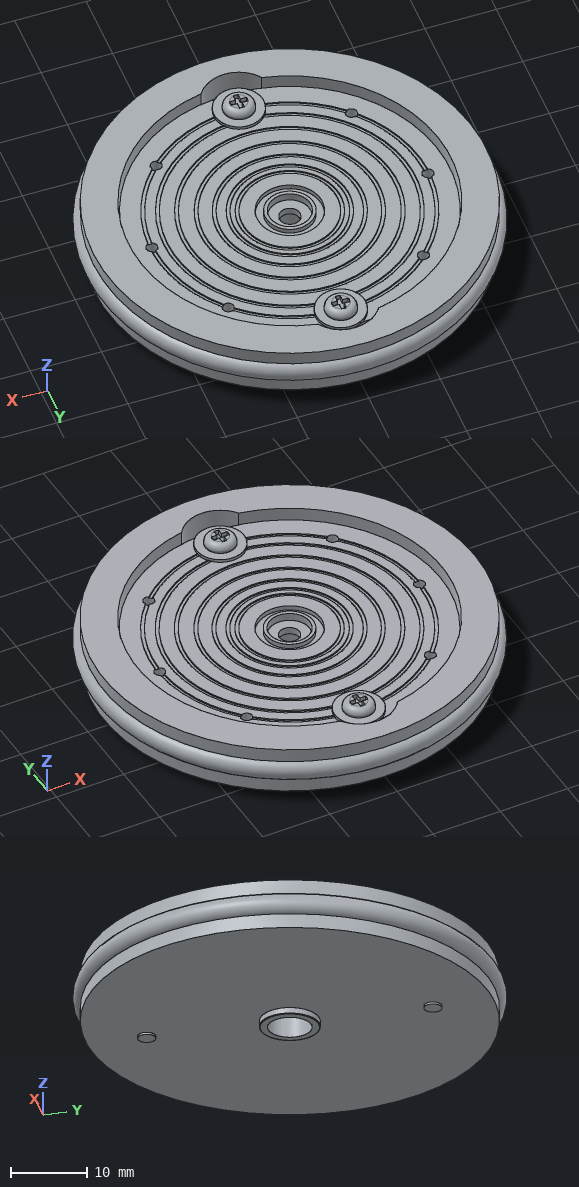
import cadquery as cq
import math

HOUSING_DIAMETER = 55.0
HOUSING_HEIGHT = 7.0
FLOOR_THICKNESS = 3.0
RECESS_DIAMETER = 45.1
SCREW_CLEARANCE_DIAMETER = 10.2
BOSS_DIAMETER = 8.0
BOSS_HEIGHT = 0.9
BOSS_CHAMFER = 0.1
BOSS_BORE_DIAMETER = 5.85

CORD_DIAMETER = 3.0
CORD_PROTRUSION = 1.0
CORD_Z = HOUSING_HEIGHT / 2

DISC_DIAMETER = 44.7
DISC_RECESS = 1.8
DISC_TOP = HOUSING_HEIGHT - DISC_RECESS
DISC_THICKNESS = DISC_TOP - FLOOR_THICKNESS
GROOVE_INNER_DIAMETERS = (13.35, 15.7, 19.35, 24.1, 29.25, 34.25, 38.1)
GROOVE_WIDTH = 0.5
GROOVE_DEPTH = 0.2

BOLT_CIRCLE_DIAMETER = 38.6
BOLT_POSITIONS = 8
SCREW_ANGLES = (90, 270)
SMALL_HOLE_DIAMETER = 1.56

RIM_OUTER_DIAMETER = 6.9
RIM_INNER_DIAMETER = 5.9
MOAT_DIAMETER = 9.1
MOAT_DEPTH = 0.7
POCKET_DEPTH = 1.15
CENTRE_HOLE_DIAMETER = 2.9

SHANK_DIAMETER = 2.4
SHANK_PROTRUSION = 0.3
WASHER_DIAMETER = 7.0
WASHER_THICKNESS = 0.45
HEAD_DIAMETER = 4.4
HEAD_HEIGHT = 1.2
HEAD_FILLET = 1.0
CROSS_SPAN = 2.4
CROSS_ARM_WIDTH = 0.66
CROSS_CORE_WIDTH = 0.95
CROSS_DEPTH = 0.7


def cylinder(diameter, bottom, height):
    """Upright cylinder on the Z axis."""
    return cq.Workplane("XY").workplane(offset=bottom).circle(diameter / 2).extrude(height)


def tube(outer_diameter, inner_diameter, bottom, height):
    """Upright tube on the Z axis."""
    section = cq.Workplane("XY").workplane(offset=bottom)
    return section.circle(outer_diameter / 2).circle(inner_diameter / 2).extrude(height)


def bolt_point(angle):
    """Point on the bolt circle at an angle in degrees."""
    radius = BOLT_CIRCLE_DIAMETER / 2
    return (radius * math.cos(math.radians(angle)), radius * math.sin(math.radians(angle)))


screw_points = [bolt_point(angle) for angle in SCREW_ANGLES]
all_angles = [position * 360 / BOLT_POSITIONS for position in range(BOLT_POSITIONS)]
small_hole_points = [bolt_point(angle) for angle in all_angles if angle not in SCREW_ANGLES]

cord_circle_diameter = HOUSING_DIAMETER + 2 * CORD_PROTRUSION - CORD_DIAMETER


def make_housing():
    """Cup with screw clearances in its wall, a bored boss below and a groove for the sealing ring."""
    recess_depth = HOUSING_HEIGHT - FLOOR_THICKNESS
    boss = cylinder(BOSS_DIAMETER, -BOSS_HEIGHT, BOSS_HEIGHT).faces("<Z").chamfer(BOSS_CHAMFER)
    housing = cylinder(HOUSING_DIAMETER, 0, HOUSING_HEIGHT).union(boss)
    housing = housing.cut(cylinder(RECESS_DIAMETER, FLOOR_THICKNESS, recess_depth))
    housing = housing.cut(cylinder(BOSS_BORE_DIAMETER, -BOSS_HEIGHT, BOSS_HEIGHT + FLOOR_THICKNESS))
    for x, y in screw_points:
        clearance = cylinder(SCREW_CLEARANCE_DIAMETER, FLOOR_THICKNESS, recess_depth)
        screw_hole = cylinder(SHANK_DIAMETER, 0, FLOOR_THICKNESS)
        housing = housing.cut(clearance.union(screw_hole).translate((x, y, 0)))
    groove_floor_diameter = cord_circle_diameter - CORD_DIAMETER
    groove_bottom = CORD_Z - CORD_DIAMETER / 2
    return housing.cut(tube(HOUSING_DIAMETER, groove_floor_diameter, groove_bottom, CORD_DIAMETER))


def make_sealing_ring():
    """Torus of round cord."""
    return cq.Workplane(cq.Solid.makeTorus(
        cord_circle_diameter / 2, CORD_DIAMETER / 2, cq.Vector(0, 0, CORD_Z)))


def make_disc():
    """Disc with concentric grooves, a stepped centre and holes on the bolt circle."""
    disc = cylinder(DISC_DIAMETER, FLOOR_THICKNESS, DISC_THICKNESS)

    for inner_diameter in GROOVE_INNER_DIAMETERS:
        outer_diameter = inner_diameter + 2 * GROOVE_WIDTH
        disc = disc.cut(tube(outer_diameter, inner_diameter, DISC_TOP - GROOVE_DEPTH, GROOVE_DEPTH))

    disc = disc.cut(tube(MOAT_DIAMETER, RIM_OUTER_DIAMETER, DISC_TOP - MOAT_DEPTH, MOAT_DEPTH))
    disc = disc.cut(cylinder(RIM_INNER_DIAMETER, DISC_TOP - POCKET_DEPTH, POCKET_DEPTH))
    disc = disc.cut(cylinder(CENTRE_HOLE_DIAMETER, FLOOR_THICKNESS, DISC_THICKNESS))

    for x, y in small_hole_points:
        small_hole = cylinder(SMALL_HOLE_DIAMETER, FLOOR_THICKNESS, DISC_THICKNESS)
        disc = disc.cut(small_hole.translate((x, y, 0)))
    for x, y in screw_points:
        screw_hole = cylinder(SHANK_DIAMETER, FLOOR_THICKNESS, DISC_THICKNESS)
        disc = disc.cut(screw_hole.translate((x, y, 0)))
    return disc


def make_cross_recess(top):
    """Cross-shaped cutter with a diamond core that bevels the inner corners."""
    plane = cq.Workplane("XY").workplane(offset=top - CROSS_DEPTH)
    arm_x = plane.rect(CROSS_SPAN, CROSS_ARM_WIDTH).extrude(CROSS_DEPTH)
    arm_y = plane.rect(CROSS_ARM_WIDTH, CROSS_SPAN).extrude(CROSS_DEPTH)
    core = plane.transformed(rotate=(0, 0, 45)).rect(CROSS_CORE_WIDTH, CROSS_CORE_WIDTH)
    cross = arm_x.union(arm_y).union(core.extrude(CROSS_DEPTH))
    return cross.intersect(cylinder(CROSS_SPAN, top - CROSS_DEPTH, CROSS_DEPTH))


def make_screw(x, y):
    """Round-headed screw whose washer rests on the disc."""
    washer_top = DISC_TOP + WASHER_THICKNESS
    head_top = washer_top + HEAD_HEIGHT
    head = cylinder(HEAD_DIAMETER, washer_top, HEAD_HEIGHT).faces(">Z").edges().fillet(HEAD_FILLET)
    shank = cylinder(SHANK_DIAMETER, -SHANK_PROTRUSION, DISC_TOP + SHANK_PROTRUSION)
    washer = cylinder(WASHER_DIAMETER, DISC_TOP, WASHER_THICKNESS)
    screw = shank.union(washer).union(head).cut(make_cross_recess(head_top))
    return screw.translate((x, y, 0))


housing = make_housing()
sealing_ring = make_sealing_ring()
disc = make_disc()
screws = [make_screw(x, y) for x, y in screw_points]

result = cq.Compound.makeCompound(
    [housing.val(), sealing_ring.val(), disc.val(), *[screw.val() for screw in screws]]
)